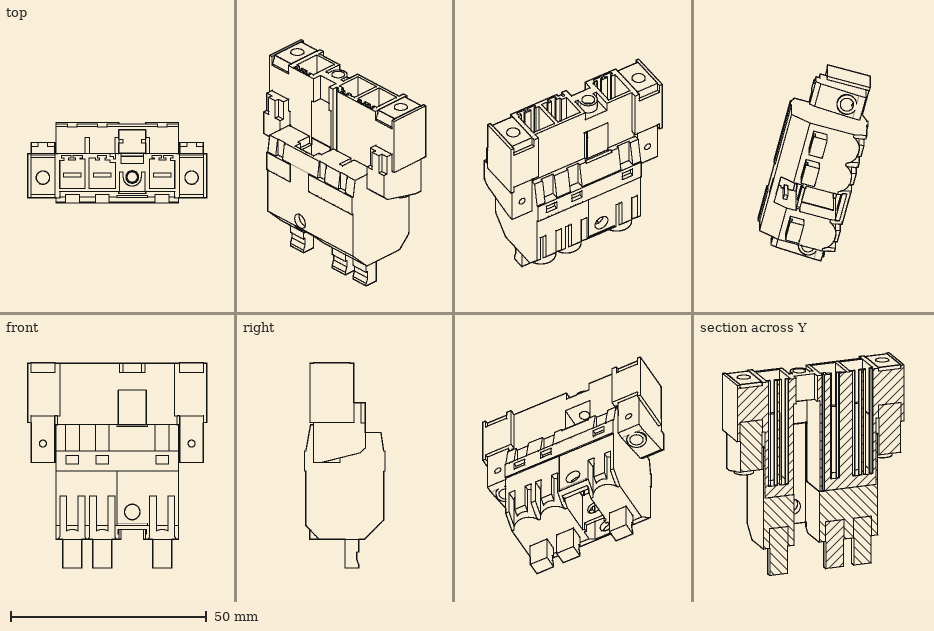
import cadquery as cq

pitch = 7.65
pole_xs = [-1.5 * pitch, -0.5 * pitch, 1.5 * pitch]
screw_x = 0.5 * pitch
top = 52.35

core_half = 15.25
core_front, core_back = -7.35, 2.35
core_bottom = 21.0
well_floor = 24.15
well_front = -6.5
well_half, well_back, well_back_inner = 3.3, 0.65, 1.0
middle_well_left, middle_well_right, middle_well_back = 3.35, 3.4, 0.05
key_neck, key_back, web_y = 1.25, 1.9, 0.8
outer_key, inner_key = 1.55, 1.4
end_neck_half, middle_neck_half = 0.6, 0.7
key_head_long, key_head_short = 1.2, 1.1
web_left, web_right = 1.75, 1.95
groove_left, groove_step, groove_right = -1.9, -0.95, -0.4
groove_shallow_y, groove_deep_y = 1.7, 0.95
window_half, window_top = 3.55, 45.4
notch_half, notch_front = 2.85, -0.1
screw_y = -3.6
screw_hole_r, screw_bore_r, screw_bore_depth = 1.3, 1.6, 2.6
boss_r, boss_back = 2.3, -2.35
recess_half, recess_floor = 3.25, 49.9

cap_outer, cap_inner = 22.85, 14.65
cap_front = -8.9
cap_bottom, cap_wall_bottom = 37.15, 38.85
cap_notch_floor = 50.0
cap_slope_y, cap_slope_foot = 2.0, 49.85
block_x, block_half = 19.0, 3.05
block_front, block_back, block_tab_back = -8.0, 1.35, 5.25
block_bottom, block_tab_bottom, block_tab_top, block_top = 26.9, 30.7, 42.2, 52.45
block_foot_back, block_knee_y, block_knee_z = -6.15, 3.95, 29.4
block_hole_y, block_hole_r, block_boss_r = -3.8, 1.7, 2.5
tab_notch_depth, tab_notch_floor, tab_key_half = 1.1, 37.1, 1.2
side_hole_r, side_hole_z = 0.9, 31.8

plug_half = 15.7
plug_bottom = 7.35
rim_top, deck_top = 36.6, 34.6
rim_front, deck_back = -8.75, 9.3
face_front, face_back = -9.95, 9.95
band_depth = 20.6
band_front, band_back = -band_depth / 2, band_depth / 2
band_bottom, band_top = 24.75, 29.9
slope_front, slope_back = -9.95, 9.95
chamfer_front_y, chamfer_front_z = -6.55, 10.85
chamfer_back_y, chamfer_back_z = 5.1, 12.25
front_key_width, front_key_y = 3.55, -8.1
back_key_width, back_key_y = 2.5, 9.15
latch_width, latch_bottom, latch_top, latch_depth = 3.1, 26.6, 28.8, 1.05
barrel_r, barrel_front = 3.85, -8.95
slot_inner, slot_outer, slot_top = 1.5, 3.2, 18.35
cavity_half = 3.4
cavity_front, cavity_back = -7.8, 8.4
partition_front, partition_back = 1.7, 2.55
opening_half, front_opening_half, opening_top = 2.85, 3.6, 9.8
cross_hole_r, cross_hole_z = 1.95, 14.3
rib_length, rib_y, rib_width = 1.1, 5.5, 0.95
rib_bottom, rib_top = 18.35, 31.45
deck_slot_back, deck_slot_depth = 6.5, 2.1
pole_slot_half, screw_slot_half = 0.6, 4.35
panel_left, panel_step = -0.1, 0.05
lip_half, rim_scoop_r = 3.9, 0.45
lip_size, lip_clearance = 0.6, 0.05

blade_width, blade_thickness, blade_y, blade_top = 4.55, 1.0, -3.15, 41.95
lever_width, lever_front, lever_back = 4.9, 0.05, 3.6
lever_inset = 5.25
lever_step_z, lever_nick_z, lever_hook_z, lever_nick = 4.05, 2.2, 0.8, 0.5


def box(x0, x1, y0, y1, z0, z1):
    """A block given by its limits along X, Y and Z."""
    return cq.Workplane("XY").box(x1 - x0, y1 - y0, z1 - z0, centered=False).translate((x0, y0, z0))


def centred_box(x, half_width, y0, y1, z0, z1):
    return box(x - half_width, x + half_width, y0, y1, z0, z1)


def upright_cylinder(x, y, radius, z0, z1):
    return cq.Workplane("XY", origin=(x, y, z0)).circle(radius).extrude(z1 - z0)


def cross_cylinder(x, z, radius, y0, y1):
    return cq.Workplane("XZ", origin=(x, y0, z)).circle(radius).extrude(y0 - y1)


def long_cylinder(x, half_width, y, z, radius):
    return cq.Workplane("YZ", origin=(x - half_width, y, z)).circle(radius).extrude(2 * half_width)


def side_profile(x, half_width, points):
    """An outline in Y and Z, extruded along X."""
    return cq.Workplane("YZ", origin=(x - half_width, 0, 0)).polyline(points).close().extrude(2 * half_width)


def block_outline(x):
    return side_profile(x, block_half, [
        (block_front, block_bottom), (block_foot_back, block_bottom),
        (block_knee_y, block_knee_z), (block_tab_back, block_tab_bottom),
        (block_tab_back, block_tab_top), (block_back, block_tab_top),
        (block_back, block_top), (block_front, block_top),
    ])


def make_flange_block(x):
    boss = upright_cylinder(x, block_hole_y, block_boss_r, block_bottom, cap_bottom)
    block = block_outline(x).union(boss)
    for side in (-1, 1):
        notch_half = (block_half - tab_key_half) / 2
        notch_x = x + side * (tab_key_half + notch_half)
        block = block.cut(centred_box(notch_x, notch_half, block_tab_back - tab_notch_depth, block_tab_back,
                                      tab_notch_floor, block_tab_top))
    block = block.cut(upright_cylinder(x, block_hole_y, block_hole_r, block_bottom, block_top))
    return block.cut(cross_cylinder(x, side_hole_z, side_hole_r, block_front, block_hole_y))


def end_cap(side):
    """The right end cap, or its mirror image for side = -1."""
    outer_plate_edge = block_x + block_half
    cap = box(cap_inner, cap_outer, cap_front, core_back, cap_wall_bottom, top)
    cap = cap.union(box(outer_plate_edge, cap_outer, cap_front, core_back, cap_bottom, top))
    cap = cap.cut(centred_box(block_x, block_half, cap_front, block_front, cap_notch_floor, top))
    cap = cap.cut(side_profile(block_x, block_half, [
        (block_back, top), (cap_slope_y, cap_notch_floor), (core_back, cap_slope_foot), (core_back, top),
    ]))
    return cap if side > 0 else cap.mirror("YZ")


def well_prism(points):
    return cq.Workplane("XY", origin=(0, 0, well_floor)).polyline(points).close().extrude(top - well_floor)


def key_slot(x, neck_half, head_left, head_right):
    """T-shaped slot in the back wall of a well; the head reaches beyond the neck on both sides."""
    neck = centred_box(x, neck_half, well_back, key_neck, well_floor, top)
    return neck.union(box(x - head_left, x + head_right, key_neck, key_back, well_floor, top))


def end_well(x, side):
    """A well with two key slots and a web between them; `side` is where its shallower corner lies."""
    outline = [
        (well_half, well_front), (well_half, well_back), (outer_key, well_back), (outer_key, web_y),
        (-inner_key, web_y), (-inner_key, well_back_inner), (-well_half, well_back_inner),
        (-well_half, well_front),
    ]
    well = well_prism(outline)
    well = well.union(key_slot(outer_key, end_neck_half, key_head_long, key_head_long))
    well = well.union(key_slot(-inner_key, end_neck_half, key_head_long, key_head_long))
    if side < 0:
        well = well.mirror("YZ")
    return well.translate((x, 0, 0))


def middle_well(x):
    """The second well has one key slot between two webs and a deep step in its right corner."""
    outline = [
        (-middle_well_left, well_front), (-middle_well_left, key_neck), (-web_left, key_neck),
        (-web_left, web_y), (web_right, web_y), (web_right, middle_well_back),
        (middle_well_right, middle_well_back), (middle_well_right, well_front),
    ]
    well = well_prism(outline).union(key_slot(0, middle_neck_half, key_head_long, key_head_short))
    return well.translate((x, 0, 0))


def coding_groove():
    """Stepped groove in the back of the core, beside the second well."""
    deep = box(groove_step, groove_right, groove_deep_y, core_back, core_bottom, top)
    return box(groove_left, groove_right, groove_shallow_y, core_back, core_bottom, top).union(deep)


def screw_recess():
    """Recess around the screw boss; the boss stays joined to the wall behind it."""
    recess = centred_box(screw_x, recess_half, core_front, boss_back, recess_floor, top)
    boss = upright_cylinder(screw_x, screw_y, boss_r, recess_floor, top)
    boss = boss.union(centred_box(screw_x, boss_r, screw_y, boss_back, recess_floor, top))
    return recess.cut(boss)


def blade_shape(x, z1):
    half_t = blade_thickness / 2
    return centred_box(x, blade_width / 2, blade_y - half_t, blade_y + half_t, core_bottom, z1)


def make_header():
    header = box(-core_half, core_half, core_front, core_back, core_bottom, top)
    header = header.cut(end_well(pole_xs[0], -1)).cut(middle_well(pole_xs[1])).cut(end_well(pole_xs[2], 1))
    header = header.cut(coding_groove())
    header = header.cut(centred_box(screw_x, window_half, core_front, core_back, core_bottom, window_top))
    header = header.cut(centred_box(screw_x, notch_half, notch_front, core_back, core_bottom, top))
    header = header.cut(screw_recess())
    header = header.cut(upright_cylinder(screw_x, screw_y, screw_hole_r, window_top, top))
    header = header.cut(upright_cylinder(screw_x, screw_y, screw_bore_r, top - screw_bore_depth, top))
    for side in (-1, 1):
        header = header.union(end_cap(side)).cut(block_outline(side * block_x))
    for x in pole_xs:
        header = header.cut(blade_shape(x, well_floor))
    return header


def make_blade(x):
    return blade_shape(x, blade_top)


def make_lever(x):
    lever_top = plug_bottom + lever_inset
    nick_y = lever_back - lever_nick
    return side_profile(x, lever_width / 2, [
        (lever_front, 0), (lever_back, 0), (lever_back, lever_hook_z), (nick_y, lever_nick_z),
        (nick_y, lever_step_z), (lever_back, lever_step_z), (lever_back, lever_top), (lever_front, lever_top),
    ])


def plug_body():
    body = side_profile(0, plug_half, [
        (core_front, rim_top), (rim_front, rim_top), (slope_front, band_top), (band_front, band_top),
        (band_front, band_bottom), (face_front, band_bottom), (face_front, chamfer_front_z),
        (chamfer_front_y, plug_bottom), (chamfer_back_y, plug_bottom), (face_back, chamfer_back_z),
        (face_back, band_bottom), (band_back, band_bottom), (band_back, band_top), (slope_back, band_top),
        (deck_back, deck_top), (core_front, deck_top),
    ])
    return body.cut(box(panel_left, plug_half, face_front, face_front + panel_step, plug_bottom, band_bottom))


def barrel(x):
    return upright_cylinder(x, barrel_front + barrel_r, barrel_r, plug_bottom, slot_top)


def barrel_slots(x):
    """Two upright slots in the front face that bare the round barrel behind them."""
    middle = (slot_inner + slot_outer) / 2
    half = (slot_outer - slot_inner) / 2
    slots = [centred_box(x + side * middle, half, face_front, barrel_front + barrel_r, plug_bottom, slot_top)
             for side in (-1, 1)]
    return slots[0].union(slots[1]).cut(barrel(x))


def pole_keys(x):
    """Key grooves above the band and the latch window in the band."""
    front = centred_box(x, front_key_width / 2, band_front, front_key_y, band_top, rim_top)
    back = centred_box(x, back_key_width / 2, back_key_y, slope_back, band_top, deck_top)
    latch = centred_box(x, latch_width / 2, band_front, band_front + latch_depth, latch_bottom, latch_top)
    return front.union(back).union(latch)


def screw_cavity():
    """Vertical shaft at the screw position, split by a partition and open across the bottom."""
    front = centred_box(screw_x, cavity_half, cavity_front, partition_front, plug_bottom, rim_top)
    back = centred_box(screw_x, cavity_half, partition_back, cavity_back, plug_bottom, rim_top)
    for side in (-1, 1):
        rib_x = screw_x + side * (cavity_half - rib_length / 2)
        back = back.cut(centred_box(rib_x, rib_length / 2, rib_y - rib_width / 2, rib_y + rib_width / 2,
                                    rib_bottom, rib_top))
    opening = centred_box(screw_x, opening_half, partition_front, face_back, plug_bottom, opening_top)
    front_opening = centred_box(screw_x, front_opening_half, face_front, cavity_front,
                                plug_bottom, opening_top)
    return front.union(back).union(opening).union(front_opening)


def deck_slots():
    """Slots in the deck behind the core."""
    z0 = deck_top - deck_slot_depth
    slots = centred_box(-pitch, pole_slot_half, core_back, deck_slot_back, z0, deck_top)
    for side in (-1, 1):
        x = screw_x + side * (cavity_half + screw_slot_half) / 2
        half = (screw_slot_half - cavity_half) / 2
        slots = slots.union(centred_box(x, half, core_back, deck_slot_back, z0, deck_top))
    return slots


def lower_lip():
    """What is cut away to round the lower front edge at the screw position."""
    inner_y = face_front + lip_size
    inner_z = chamfer_front_z + lip_size
    notch = centred_box(screw_x, lip_half, face_front, inner_y, chamfer_front_z, inner_z)
    return notch.cut(long_cylinder(screw_x, lip_half, inner_y, inner_z, lip_size - lip_clearance))


def make_plug():
    plug = plug_body()
    for x in pole_xs:
        plug = plug.cut(barrel_slots(x)).union(barrel(x)).cut(pole_keys(x))
    plug = plug.cut(box(-core_half, core_half, core_front, core_back, core_bottom, rim_top))
    plug = plug.cut(screw_cavity()).cut(deck_slots())
    plug = plug.cut(cross_cylinder(screw_x, cross_hole_z, cross_hole_r, face_front, face_back))
    plug = plug.cut(centred_box(screw_x, cavity_half, face_back, band_back, band_bottom, band_top))
    plug = plug.cut(long_cylinder(screw_x, lip_half, rim_front, rim_top, rim_scoop_r)).cut(lower_lip())
    for x in pole_xs:
        plug = plug.cut(make_lever(x))
    return plug


header = make_header()
plug = make_plug()
flange_blocks = [make_flange_block(side * block_x) for side in (-1, 1)]
blades = [make_blade(x) for x in pole_xs]
levers = [make_lever(x) for x in pole_xs]

result = cq.Compound.makeCompound([
    body.solids().val() for body in [header, plug, *flange_blocks, *blades, *levers]
])